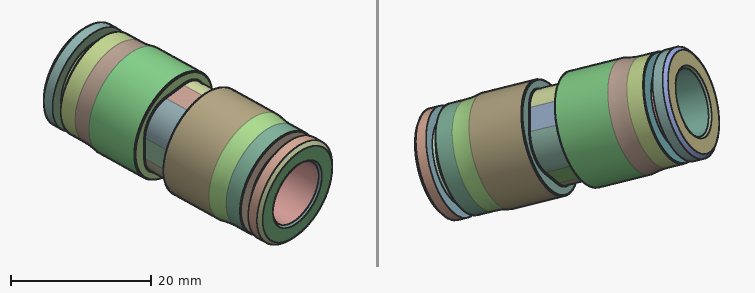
import cadquery as cq
import math

length = 41.2
half_length = length / 2

collar_radius = 8.25
collar_width = 2.2
collar_chamfer_length = 0.55
collar_chamfer_depth = 0.6
collar_neck_radius = 6.05
collar_neck_chamfer = 0.35
collar_gap = 1.45

nose_radius = 8.25
nose_length = 2.75
sleeve_radius = 8.59
flare_length = 2.93
sleeve_chamfer = 0.15
nose_chamfer = 0.12

waist_length = 5.2
waist_width = 12.95
flat_width = 3.87
waist_corner_radius = (waist_width - flat_width) / 2
waist_root_chamfer = 0.145

mouth_radius = 5.35
mouth_chamfer = 0.35
socket_radius = mouth_radius - mouth_chamfer
socket_depth = 17.3
passage_radius = 4.5
passage_chamfer = 0.25

collar_inner = half_length - collar_width
sleeve_outer = collar_inner - collar_gap
flare_outer = sleeve_outer - nose_length
flare_inner = flare_outer - flare_length
sleeve_inner = waist_length / 2
socket_floor = half_length - socket_depth

flare_rise = sleeve_radius - nose_radius
flare_arc_radius = (flare_length**2 + flare_rise**2) / (2 * flare_rise)
flare_middle_rise = flare_arc_radius - math.sqrt(flare_arc_radius**2 - (flare_length / 2) ** 2)


def make_end():
    """One half of the turned outside, on +X, without the waist or bore."""
    profile = (
        cq.Workplane("XY")
        .moveTo(sleeve_inner, 0)
        .lineTo(sleeve_inner, sleeve_radius - sleeve_chamfer)
        .lineTo(sleeve_inner + sleeve_chamfer, sleeve_radius)
        .lineTo(flare_inner, sleeve_radius)
        .threePointArc(
            (flare_outer - flare_length / 2, nose_radius + flare_middle_rise),
            (flare_outer, nose_radius),
        )
        .lineTo(sleeve_outer - nose_chamfer, nose_radius)
        .lineTo(sleeve_outer, nose_radius - nose_chamfer)
        .lineTo(sleeve_outer, collar_neck_radius)
        .lineTo(collar_inner - collar_neck_chamfer, collar_neck_radius)
        .lineTo(collar_inner, collar_neck_radius + collar_neck_chamfer)
        .lineTo(collar_inner, collar_radius)
        .lineTo(half_length - collar_chamfer_length, collar_radius)
        .lineTo(half_length, collar_radius - collar_chamfer_depth)
        .lineTo(half_length, 0)
        .close()
    )
    return profile.revolve(360, (0, 0, 0), (1, 0, 0))


def make_waist():
    """Square waist with flats facing Y and Z and rounded corners."""
    square_bar = cq.Workplane("XY").box(waist_length, waist_width, waist_width)
    return square_bar.edges("|X").fillet(waist_corner_radius)


def make_bore():
    """Through passage with a chamfered socket at each end."""
    half_profile = (
        cq.Workplane("XY")
        .lineTo(0, passage_radius)
        .lineTo(socket_floor - passage_chamfer, passage_radius)
        .lineTo(socket_floor, passage_radius + passage_chamfer)
        .lineTo(socket_floor, socket_radius)
        .lineTo(half_length - mouth_chamfer, socket_radius)
        .lineTo(half_length, mouth_radius)
        .lineTo(half_length, 0)
        .close()
    )
    half_bore = half_profile.revolve(360, (0, 0, 0), (1, 0, 0))
    return half_bore.union(half_bore.mirror("YZ"))


def is_waist_root(edge):
    """True for the edges where the waist meets a sleeve end face."""
    ends = [edge.startPoint(), edge.endPoint()]
    at_sleeve_face = math.isclose(abs(edge.Center().x), sleeve_inner, abs_tol=4.12e-05)
    inside_sleeve_rim = all(math.hypot(p.y, p.z) < nose_radius for p in ends)
    return at_sleeve_face and inside_sleeve_rim


end = make_end()
outside = make_waist().union(end).union(end.mirror("YZ"))
waist_roots = [edge for edge in outside.edges().vals() if is_waist_root(edge)]
outside = outside.newObject(waist_roots).chamfer(waist_root_chamfer)

result = outside.cut(make_bore())